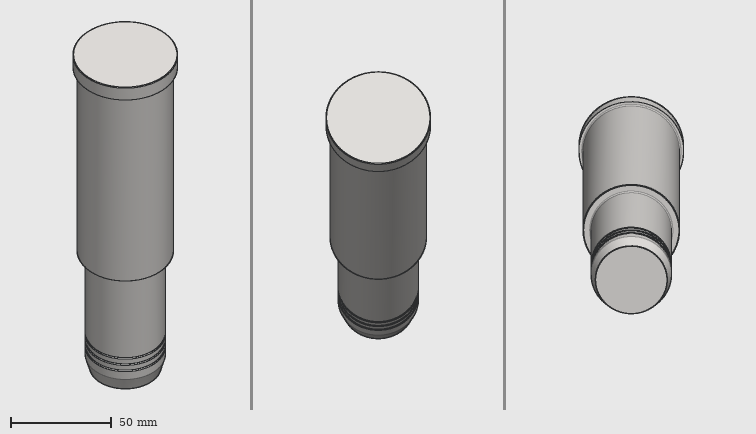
import cadquery as cq
import math

total_length = 200.0
head_radius = 26.0
head_height = 8.0
body_radius = 24.0
shank_radius = 20.0
shank_length = 74.0
head_underside = total_length - head_height

nose_length = 8.0
nose_half_angle = 15.0
nose_slope = math.tan(math.radians(nose_half_angle))
tip_radius = shank_radius - nose_length * nose_slope

edge_chamfer = 0.5
tip_chamfer = 0.2
corner_fillet = 0.5

groove_count = 3
groove_width = 1.0
groove_depth = groove_width / 2
first_groove_height = 13.0 + groove_width / 2
groove_pitch = 4.0


def revolve_about_z(outline):
    return outline.close().revolve(360, (0, 0, 0), (0, 1, 0))


def stepped_pin():
    """Revolve the half section, drawn as (radius, height), from the tip up to the head."""
    outline = (
        cq.Workplane("XZ")
        .lineTo(tip_radius - tip_chamfer, 0)
        .lineTo(tip_radius + tip_chamfer * nose_slope, tip_chamfer)
        .lineTo(shank_radius, nose_length)
        .lineTo(shank_radius, shank_length - corner_fillet)
        .tangentArcPoint((corner_fillet, corner_fillet), relative=True)
        .lineTo(body_radius - edge_chamfer, shank_length)
        .lineTo(body_radius, shank_length + edge_chamfer)
        .lineTo(body_radius, head_underside - corner_fillet)
        .tangentArcPoint((corner_fillet, corner_fillet), relative=True)
        .lineTo(head_radius, head_underside)
        .lineTo(head_radius, total_length - edge_chamfer)
        .lineTo(head_radius - edge_chamfer, total_length)
        .lineTo(0, total_length)
    )
    return revolve_about_z(outline)


def ring_groove(center_height):
    half_width = groove_width / 2
    outline = cq.Workplane("XZ").polyline([
        (shank_radius, center_height - half_width),
        (shank_radius - groove_depth, center_height),
        (shank_radius, center_height + half_width),
    ])
    return revolve_about_z(outline)


result = stepped_pin()

for index in range(groove_count):
    result = result.cut(ring_groove(first_groove_height + index * groove_pitch))